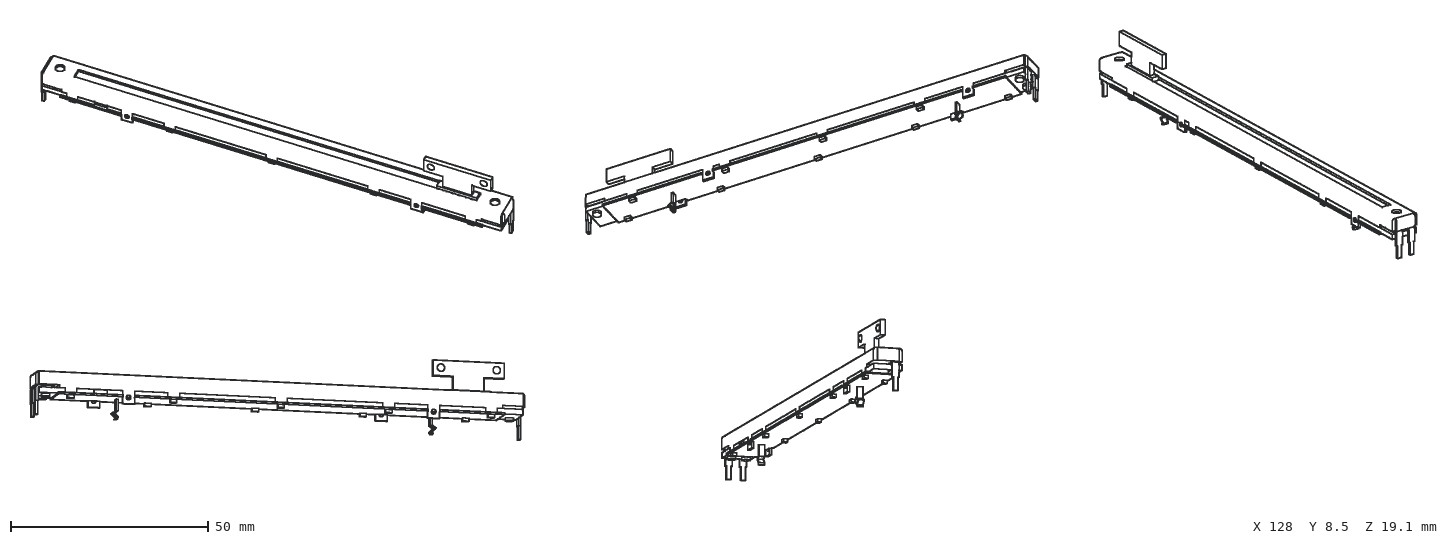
import cadquery as cq


overall_length = 128.0
sheet = 0.6
cover_width = 7.7
cover_top = 11.0
bend_radius = 0.8
side_wall_length = overall_length - 2 * sheet
end_flap_width = 5.8
end_flap_bottom = 7.5
wall_bottom = 6.8
end_notch_length = 5.4

tab_width = 3.1
front_tab_places = (-55.0, -28.2, 0.0, 28.2, 55.0)
rear_tab_shift = -5.0
front_lug_places = (-40.0, 40.0)
rear_lug_places = (-47.2, 28.0)
lug_bottom = 3.5
lug_dimple_diameter = 1.2
lug_dimple_depth = 0.4
lug_dimple_height = 5.1
peg_width = 1.7
peg_depth = 1.0
peg_bottom = 4.4

board_bottom = 5.4
board_top = wall_bottom
board_width = 7.5
board_recess_x = -47.2
board_recess_length = 3.5
board_recess_depth = 0.4
lip_length = 116.7
lip_width = 8.5
lip_bottom = 5.1
lip_top = 5.6

slot_length = 111.1
slot_width = 2.7
mount_hole_diameter = 2.4
mount_hole_x = 60.0

lever_x = 49.9
lever_thickness = 1.3
lever_top = 19.1
lever_arm_length = 18.5
lever_arm_bottom = 15.1
lever_stem_length = 8.0
collar_length = 11.0
collar_width = 2.0
collar_top = 11.5
lever_boss_spacing = 14.6
lever_boss_height = 17.2
lever_boss_diameter = 1.9
lever_boss_length = 0.5

terminal_width = 1.8
terminal_tip_width = 1.2
terminal_shoulder = 3.5
terminal_foot_length = 4.4
terminal_y = 1.9
terminal_places = ((-1, -terminal_y), (-1, terminal_y), (1, terminal_y))
rivet_diameter = 2.2
rivet_x = 61.2
rivet_bottom = 4.7

left_leg_x = -42.1
right_leg_x = 40.0
leg_width = 1.5
leg_sheet = 0.5
leg_kink_reach = 1.0
leg_kink_top = 2.2
leg_kink_height = 1.5
leg_kink_bottom = 0.5


def block(x_range, y_range, z_range):
    """Box between the given limits on each axis."""
    size = [high - low for low, high in (x_range, y_range, z_range)]
    corner = (x_range[0], y_range[0], z_range[0])
    return cq.Workplane("XY").box(*size, centered=False).translate(corner)


def centred_block(x_centre, length, width, bottom, top):
    """Box centred on the part's long axis."""
    half_length = length / 2
    return block((x_centre - half_length, x_centre + half_length), (-width / 2, width / 2), (bottom, top))


def side_block(x_centre, length, side, depth, bottom, top):
    """Box just inside the front (side -1) or rear (side +1) face of the cover."""
    y_limits = sorted((side * cover_width / 2, side * (cover_width / 2 - depth)))
    return block((x_centre - length / 2, x_centre + length / 2), y_limits, (bottom, top))


def make_cover():
    """Rounded body with a bent-down flap at each end, notched ends and top openings."""
    walls = centred_block(0, side_wall_length, cover_width, wall_bottom, cover_top)
    walls = walls.edges("|X and >Z").fillet(bend_radius)
    flaps = centred_block(0, overall_length, end_flap_width, end_flap_bottom, cover_top)
    flaps = flaps.edges("|Y and >Z").fillet(bend_radius)
    cover = walls.union(flaps)
    for end in (-1, 1):
        notch_x = end * (side_wall_length - end_notch_length) / 2
        cover = cover.cut(centred_block(notch_x, end_notch_length, cover_width, wall_bottom, end_flap_bottom))
    cover = cover.cut(centred_block(0, slot_length, slot_width, cover_top - sheet, cover_top))
    holes = (
        cq.Workplane("XY", origin=(0, 0, cover_top))
        .pushPoints([(-mount_hole_x, 0), (mount_hole_x, 0)])
        .circle(mount_hole_diameter / 2)
        .extrude(-sheet)
    )
    return cover.cut(holes)


def make_board():
    """Board with its lip cut away at the lugs and a recess in its front edge."""
    board = centred_block(0, side_wall_length, board_width, board_bottom, board_top)
    board = board.union(centred_block(0, lip_length, lip_width, lip_bottom, lip_top))
    for side, places in ((-1, front_lug_places), (1, rear_lug_places)):
        for x in places:
            lug_limits = (x - tab_width / 2, x + tab_width / 2)
            lip_limits = sorted((side * board_width / 2, side * lip_width / 2))
            board = board.cut(block(lug_limits, lip_limits, (lip_bottom, lip_top)))
    recess_depth = (cover_width - board_width) / 2 + board_recess_depth
    return board.cut(side_block(board_recess_x, board_recess_length, -1, recess_depth, lip_top, board_top))


def make_tab(x, side):
    """Cover tab down to the lip, with a peg through the board."""
    tab = side_block(x, tab_width, side, sheet, lip_top, wall_bottom)
    return tab.union(side_block(x, peg_width, side, peg_depth, peg_bottom, lip_top))


def make_lug(x, side):
    """Long cover tab with a round dimple in its outer face."""
    lug = side_block(x, tab_width, side, sheet, lug_bottom, wall_bottom)
    dimple = (
        cq.Workplane("XZ", origin=(x, side * cover_width / 2, lug_dimple_height))
        .circle(lug_dimple_diameter / 2)
        .extrude(side * lug_dimple_depth)
    )
    return lug.cut(dimple)


def make_lever_boss(x):
    """Shallow dome on the lever's front face."""
    front_face = -lever_thickness / 2
    base_radius = lever_boss_diameter / 2
    dome_radius = (base_radius**2 + lever_boss_length**2) / (2 * lever_boss_length)
    dome = (
        cq.Workplane("XY")
        .moveTo(0, 0)
        .lineTo(base_radius, 0)
        .radiusArc((0, -lever_boss_length), dome_radius)
        .close()
        .revolve(360, (0, 0), (0, 1))
    )
    return dome.translate((x, front_face, lever_boss_height))


def make_slider():
    """T-shaped lever standing on a collar in the slot."""
    slider = centred_block(lever_x, collar_length, collar_width, cover_top - sheet, collar_top)
    slider = slider.union(centred_block(lever_x, lever_stem_length, lever_thickness, collar_top, lever_top))
    slider = slider.union(
        centred_block(lever_x, lever_arm_length, lever_thickness, lever_arm_bottom, lever_top)
    )
    for side in (-1, 1):
        slider = slider.union(make_lever_boss(lever_x + side * lever_boss_spacing / 2))
    return slider


def make_terminal(end, y):
    """Foot on the board, bent down over the board's end, with a narrower tip."""
    outer = overall_length / 2
    inner = outer - sheet
    half_width = terminal_width / 2
    half_tip = terminal_tip_width / 2
    foot_top = board_top + sheet
    terminal = (
        cq.Workplane("XZ", origin=(0, half_width, 0))
        .moveTo(inner - terminal_foot_length, board_top)
        .lineTo(inner - terminal_foot_length, foot_top)
        .lineTo(inner, foot_top)
        .radiusArc((outer, board_top), sheet)
        .lineTo(outer, 0)
        .lineTo(inner, 0)
        .lineTo(inner, board_top)
        .close()
        .extrude(terminal_width)
    )
    for side in (-1, 1):
        trim_limits = sorted((side * half_width, side * half_tip))
        terminal = terminal.cut(block((inner, outer), trim_limits, (0, terminal_shoulder)))
    if end < 0:
        terminal = terminal.mirror("YZ")
    return terminal.translate((0, y, 0))


def make_rivet(end, y):
    """Round head under the board below a terminal's foot."""
    rivet = cq.Workplane("XY", origin=(end * rivet_x, y, rivet_bottom)).circle(rivet_diameter / 2)
    return rivet.extrude(board_bottom - rivet_bottom)


def make_leg(x, outward):
    """Strip leg whose lower part kinks outward and back."""
    kink_x = outward * leg_kink_reach
    foot_x = outward * leg_sheet / 2
    centre_line = [
        (0, lip_bottom),
        (0, leg_kink_top),
        (kink_x, leg_kink_height),
        (0, leg_kink_bottom),
        (foot_x, 0),
    ]
    half_sheet = leg_sheet / 2
    left_edge = [(x + dx - half_sheet, z) for dx, z in centre_line]
    right_edge = [(x + dx + half_sheet, z) for dx, z in reversed(centre_line)]
    outline = cq.Workplane("XZ", origin=(0, leg_width / 2, 0)).polyline(left_edge + right_edge)
    return outline.close().extrude(leg_width)


result = make_cover().union(make_board())
rear_tab_places = [x + rear_tab_shift for x in front_tab_places[1:]]
for x in front_tab_places:
    result = result.union(make_tab(x, -1))
for x in rear_tab_places:
    result = result.union(make_tab(x, 1))
for x in front_lug_places:
    result = result.union(make_lug(x, -1))
for x in rear_lug_places:
    result = result.union(make_lug(x, 1))
result = result.union(make_slider())
for end, y in terminal_places:
    result = result.union(make_terminal(end, y)).union(make_rivet(end, y))
result = result.union(make_leg(left_leg_x, -1)).union(make_leg(right_leg_x, 1))